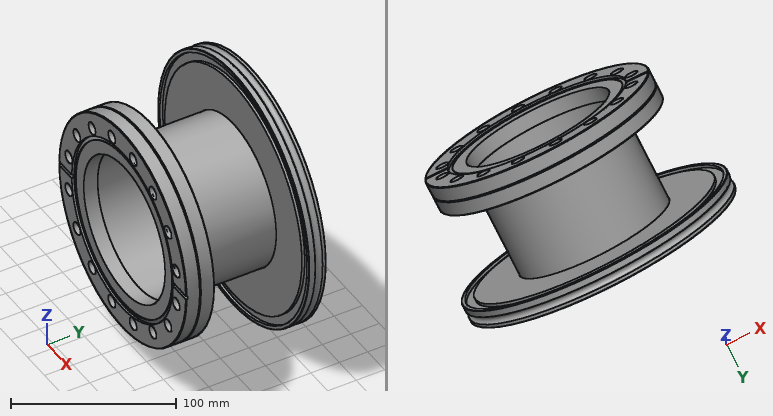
import cadquery as cq
import math


total_length = 90.0
front_y = -total_length / 2
back_y = total_length / 2

tube_radius = 101.6 / 2
tube_bore_radius = 97.0 / 2
socket_radius = 101.9 / 2
flange_bore_radius = 96.8 / 2

bolted_radius = 151.6 / 2
bolted_thickness = 20.0
bolted_back_y = front_y + bolted_thickness
bolted_chamfer = 0.5
rim_groove_half_width = 0.5
rim_groove_depth = 0.4
recess_radius = 120.6 / 2
knife_radius = 115.2 / 2
knife_tip_depth = 0.7
knife_slope_degrees = 20
gasket_floor_depth = 1.4
bolted_socket_depth = 8.8

bolt_count = 16
bolt_pitch = 360.0 / bolt_count
bolt_circle_radius = 130.2 / 2
bolt_hole_diameter = 8.4
leak_groove_radius = 1.25

clamped_radius = 180.0 / 2
clamped_thickness = 12.0
clamped_chamfer = 0.3
clamped_front_y = back_y - clamped_thickness
rim_channel_radius = 2.5
rim_channel_y = back_y - 5.0
face_groove_outer_radius = 175.0 / 2
face_groove_inner_radius = 163.0 / 2
face_groove_depth = 2
clamped_socket_depth = clamped_thickness / 2


def revolve_about_y(outline):
    return outline.close().revolve(360, (0, 0, 0), (0, 1, 0))


def ring(outer_radius, inner_radius, start_y, end_y):
    """Plain ring about the Y axis, from start_y to end_y."""
    outline = (
        cq.Workplane("XY")
        .moveTo(inner_radius, start_y)
        .lineTo(outer_radius, start_y)
        .lineTo(outer_radius, end_y)
        .lineTo(inner_radius, end_y)
    )
    return revolve_about_y(outline)


def bolted_flange_blank():
    """Turned flange: knife edge in a recessed front face, V groove round the rim, tube socket behind."""
    knife_tip_y = front_y + knife_tip_depth
    knife_slope = math.tan(math.radians(knife_slope_degrees))
    knife_root_y = knife_tip_y + (recess_radius - knife_radius) * knife_slope
    floor_y = front_y + gasket_floor_depth
    rim_groove_y = front_y + bolted_thickness / 2
    shoulder_y = bolted_back_y - bolted_socket_depth
    outline = (
        cq.Workplane("XY")
        .moveTo(flange_bore_radius, floor_y)
        .lineTo(knife_radius, floor_y)
        .lineTo(knife_radius, knife_tip_y)
        .lineTo(recess_radius, knife_root_y)
        .lineTo(recess_radius, front_y)
        .lineTo(bolted_radius - bolted_chamfer, front_y)
        .lineTo(bolted_radius, front_y + bolted_chamfer)
        .lineTo(bolted_radius, rim_groove_y - rim_groove_half_width)
        .lineTo(bolted_radius - rim_groove_depth, rim_groove_y)
        .lineTo(bolted_radius, rim_groove_y + rim_groove_half_width)
        .lineTo(bolted_radius, bolted_back_y - bolted_chamfer)
        .lineTo(bolted_radius - bolted_chamfer, bolted_back_y)
        .lineTo(socket_radius, bolted_back_y)
        .lineTo(socket_radius, shoulder_y)
        .lineTo(flange_bore_radius, shoulder_y)
    )
    return revolve_about_y(outline)


def bolt_holes():
    """Through holes, set half a pitch off the X axis."""
    return (
        cq.Workplane("XZ", origin=(0, front_y, 0))
        .polarArray(bolt_circle_radius, bolt_pitch / 2, 360, bolt_count)
        .circle(bolt_hole_diameter / 2)
        .extrude(-bolted_thickness)
    )


def leak_grooves():
    """Two round-bottomed grooves along X, from the recess out to the rim."""
    bar = (
        cq.Workplane("YZ")
        .center(front_y, 0)
        .circle(leak_groove_radius)
        .extrude(bolted_radius, both=True)
    )
    land = ring(bolted_radius, recess_radius, front_y, front_y + leak_groove_radius)
    return bar.intersect(land)


def make_bolted_flange():
    return bolted_flange_blank().cut(bolt_holes()).cut(leak_grooves())


def make_tube():
    start_y = bolted_back_y - bolted_socket_depth
    end_y = clamped_front_y + clamped_socket_depth
    return ring(tube_radius, tube_bore_radius, start_y, end_y)


def make_clamped_flange():
    """Turned flange: half-round channel in the rim, shallow groove in the front face, tube socket."""
    shoulder_y = clamped_front_y + clamped_socket_depth
    blank = ring(clamped_radius, flange_bore_radius, clamped_front_y, back_y)
    body = blank.edges(cq.selectors.RadiusNthSelector(-1)).chamfer(clamped_chamfer)
    socket = ring(socket_radius, flange_bore_radius, clamped_front_y, shoulder_y)
    face_groove = ring(
        face_groove_outer_radius,
        face_groove_inner_radius,
        clamped_front_y,
        clamped_front_y + face_groove_depth,
    )
    rim_channel = (
        cq.Workplane("XY")
        .center(clamped_radius, rim_channel_y)
        .circle(rim_channel_radius)
        .revolve(360, (-clamped_radius, 0, 0), (-clamped_radius, 1, 0))
    )
    return body.cut(socket).cut(face_groove).cut(rim_channel)


bolted_flange = make_bolted_flange()
tube = make_tube()
clamped_flange = make_clamped_flange()

result = cq.Compound.makeCompound([bolted_flange.val(), tube.val(), clamped_flange.val()])